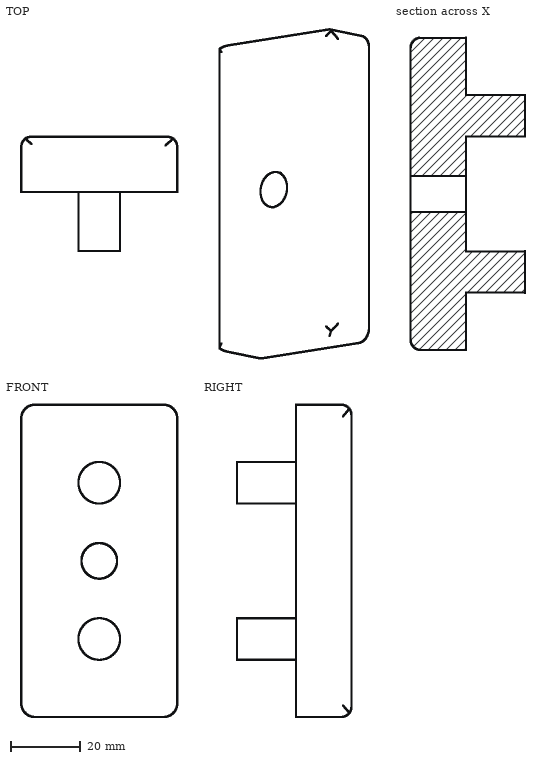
import cadquery as cq

plate_width = 45.0
plate_height = 90.0
plate_thickness = 16.0
corner_radius = 4.0
back_edge_radius = 3.0

peg_diameter = 12.0
peg_length = 17.0
peg_spacing = plate_height / 2
hole_diameter = 10.2


def make_block():
    """Plain rectangular block the size of the plate."""
    return cq.Workplane("XY").box(
        plate_width, plate_thickness, plate_height, centered=(True, False, True)
    )


def make_plate():
    """Plate whose rounded corners and rounded back edges meet in sharp mitres.

    Each direction of edges is rounded on its own block. The solid common to all
    three blocks keeps the roundings as plain cylinders that run into each other.
    """
    rounded_corners = make_block().edges("|Y").fillet(corner_radius)
    rounded_back_sides = make_block().faces(">Y").edges("|Z").fillet(back_edge_radius)
    rounded_back_ends = make_block().faces(">Y").edges("|X").fillet(back_edge_radius)
    return rounded_corners.intersect(rounded_back_sides).intersect(rounded_back_ends)


def make_pegs():
    """Round pegs above and below the centre, pointing toward -Y."""
    peg_centres = [(0, -peg_spacing / 2), (0, peg_spacing / 2)]
    return cq.Workplane("XZ").pushPoints(peg_centres).circle(peg_diameter / 2).extrude(peg_length)


def make_hole_cutter():
    """Cylinder that runs through the full plate thickness at its centre."""
    return cq.Workplane("XZ").circle(hole_diameter / 2).extrude(-plate_thickness)


result = make_plate().union(make_pegs()).cut(make_hole_cutter())